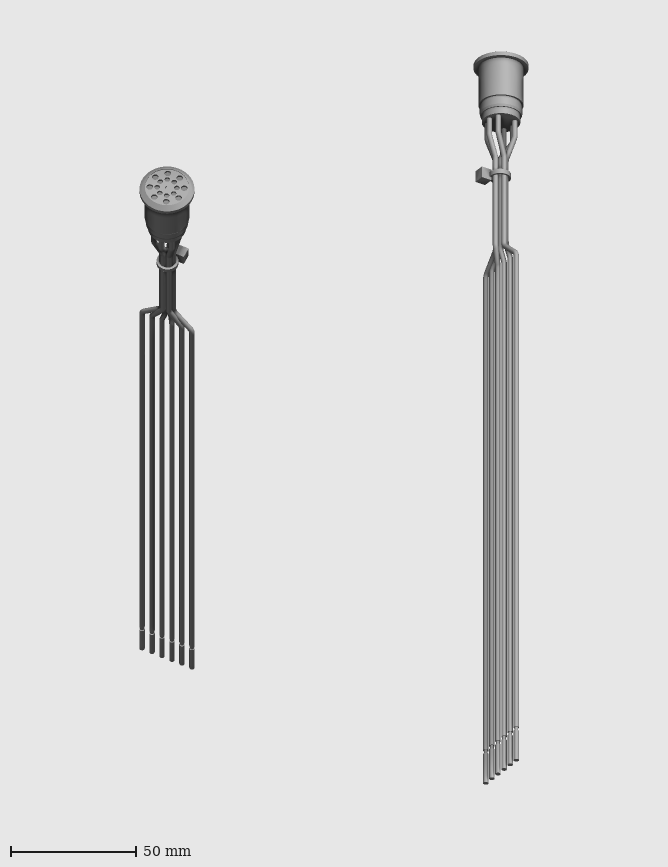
import cadquery as cq
import math

total_height = 326.8

flange_dia = 22.0
flange_thickness = 3.0
bevel_height = 1.3
face_dia = 17.5
recess_depth = 0.3
body_dia = 18.0
body_bottom = 20.0
ring_dia = 17.0
ring_end_dia = 16.5
ring_taper = 1.0
ring_bottom = 25.0
neck_dia = 15.5
neck_bottom = 27.8

contact_count = 8
contact_spacing = 360 / contact_count
hole_depth = 1.0
outer_hole_dia = 2.5
outer_hole_circle_radius = 7.0
inner_hole_dia = 2.2
inner_hole_circle_radius = 4.0
mark_width = 0.3
mark_length = 1.3
mark_x = -0.5

wire_dia = 2.2
wire_circle_radius = 5.5
wire_entry = 1.5
bend_radius = 3.3
gather_start = 35.3
gather_end = 44.8
fan_width = 24.2
fan_wire_count = 6
front_fan_start = 83.3
fan_start = 85.5
fan_end = 93.0
strip_top = 311.8
strip_length = 1.5
core_dia = 1.5

bundle_pitch = 2.45
bundle_offset_y = 0.5
bundle_twist = 9

tie_top = 51.5
tie_height = 2.0
tie_thickness = 1.0
tie_bite = 0.3
tie_head_width = 4.5
tie_head_height = 5.0
tie_head_x = 3.3
tie_head_y = 6.2


def height(depth):
    """Z of a point this far below the connector top."""
    return total_height - depth


def polar(radius, degrees):
    angle = math.radians(degrees)
    return radius * math.cos(angle), radius * math.sin(angle)


def cylinder(diameter, top, bottom, center=(0, 0)):
    """Upright cylinder between two depths."""
    base = cq.Workplane("XY", origin=(*center, height(bottom)))
    return base.circle(diameter / 2).extrude(bottom - top)


def make_shell():
    """Turned shell: bevelled flange, body, ring tapered at both ends, and neck."""
    outline = [
        (0, height(recess_depth)),
        (face_dia / 2, height(recess_depth)),
        (face_dia / 2, height(0)),
        (flange_dia / 2, height(bevel_height)),
        (flange_dia / 2, height(flange_thickness)),
        (body_dia / 2, height(flange_thickness)),
        (body_dia / 2, height(body_bottom)),
        (ring_end_dia / 2, height(body_bottom)),
        (ring_dia / 2, height(body_bottom + ring_taper)),
        (ring_dia / 2, height(ring_bottom - ring_taper)),
        (ring_end_dia / 2, height(ring_bottom)),
        (neck_dia / 2, height(ring_bottom)),
        (neck_dia / 2, height(neck_bottom)),
        (0, height(neck_bottom)),
    ]
    return cq.Workplane("XZ").polyline(outline).close().revolve(360, (0, 0), (0, 1))


def cut_face(shell):
    """Cut two rings of holes and a small index mark into the end face."""
    floor = recess_depth + hole_depth
    hole_rings = [
        (outer_hole_dia, outer_hole_circle_radius),
        (inner_hole_dia, inner_hole_circle_radius),
    ]
    for diameter, circle_radius in hole_rings:
        for index in range(contact_count):
            center = polar(circle_radius, (index + 0.5) * contact_spacing)
            shell = shell.cut(cylinder(diameter, recess_depth, floor, center))
    mark_base = cq.Workplane("XY", origin=(mark_x, 0, height(floor)))
    return shell.cut(mark_base.rect(mark_width, mark_length).extrude(hole_depth))


def bent_path(points):
    """Path through the points with every corner rounded to the bend radius."""
    corners = [cq.Vector(*point) for point in points]
    edges = []
    start = corners[0]
    for before, corner, after in zip(corners, corners[1:], corners[2:]):
        into = (corner - before).normalized()
        out = (after - corner).normalized()
        half_turn = into.getAngle(out) / 2
        setback = bend_radius * math.tan(half_turn)
        corner_to_arc = bend_radius / math.cos(half_turn) - bend_radius
        arc_start = corner - into * setback
        arc_middle = corner + (out - into).normalized() * corner_to_arc
        arc_end = corner + out * setback
        edges.append(cq.Edge.makeLine(start, arc_start))
        edges.append(cq.Edge.makeThreePointArc(arc_start, arc_middle, arc_end))
        start = arc_end
    edges.append(cq.Edge.makeLine(start, corners[-1]))
    return cq.Wire.assembleEdges(edges)


def bundle_place(degrees):
    """Place in the bundle next to its central wire, in the given direction."""
    x, y = polar(bundle_pitch, degrees + bundle_twist)
    return x, y + bundle_offset_y


def fan_x(index):
    """X of the wire with this index, counted from the left of the fan."""
    pitch = (fan_width - wire_dia) / (fan_wire_count - 1)
    return (index - (fan_wire_count - 1) / 2) * pitch


def make_wire(contact_angle, bundle_xy, fan_index, spread_start):
    """One wire from the neck through the bundle to its stripped end and tip."""
    contact_xy = polar(wire_circle_radius, contact_angle)
    end_xy = (fan_x(fan_index), 0)
    entry = (*contact_xy, height(neck_bottom - wire_entry))
    path = bent_path(
        [
            entry,
            (*contact_xy, height(gather_start)),
            (*bundle_xy, height(gather_end)),
            (*bundle_xy, height(spread_start)),
            (*end_xy, height(fan_end)),
            (*end_xy, height(strip_top)),
        ]
    )
    insulation = cq.Workplane("XY", origin=entry).circle(wire_dia / 2).sweep(cq.Workplane(path))
    strip_bottom = strip_top + strip_length
    core = cylinder(core_dia, strip_top, strip_bottom, end_xy)
    tip = cylinder(wire_dia, strip_bottom, total_height, end_xy)
    return insulation.union(core).union(tip)


def make_tie():
    """Band biting slightly into the bundle, with its square head at the back right."""
    tie_bottom = tie_top + tie_height
    center = (0, bundle_offset_y)
    opening_dia = 2 * bundle_pitch + wire_dia - tie_bite
    band = cylinder(opening_dia + 2 * tie_thickness, tie_top, tie_bottom, center)
    band = band.cut(cylinder(opening_dia, tie_top, tie_bottom, center))
    head_center = (tie_head_x, tie_head_y, height((tie_top + tie_bottom) / 2))
    head = cq.Workplane("XY", origin=head_center).box(tie_head_width, tie_head_width, tie_head_height)
    return band.union(head)


wires = [
    (135, bundle_place(180), 0, fan_start),
    (225, bundle_place(240), 1, front_fan_start),
    (270, (0, bundle_offset_y), 2, fan_start),
    (90, bundle_place(90), 3, fan_start),
    (315, bundle_place(300), 4, front_fan_start),
    (45, bundle_place(0), 5, fan_start),
]

result = cut_face(make_shell())
for wire in wires:
    result = result.union(make_wire(*wire))
result = result.union(make_tie())